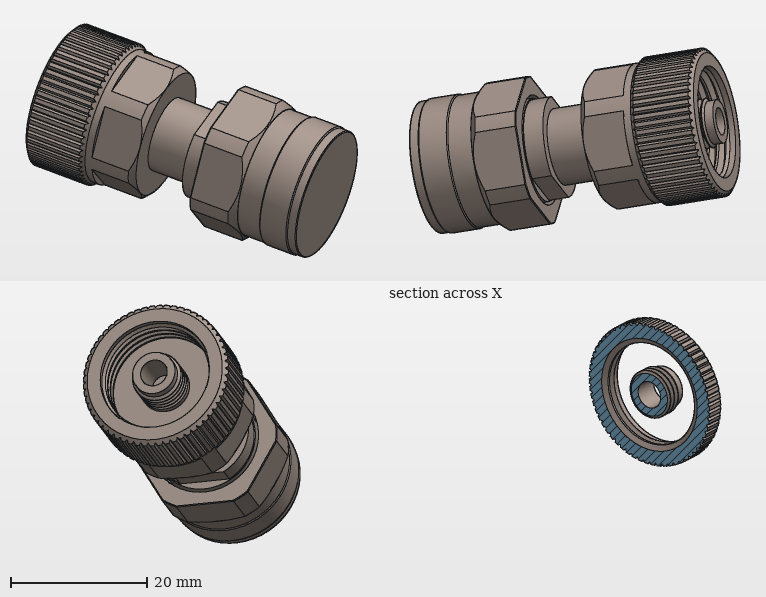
import cadquery as cq
import math


total_length = 45.0

thread_flank_height = math.cos(math.pi / 6)

spigot_radius = 3.25
spigot_plain_length = 1.35
spigot_crest_radius = 3.7
spigot_groove_pitch = 0.95
spigot_groove_length = 0.8
spigot_groove_count = 4
spigot_bore_radius = 2.02
contact_hole_radius = 0.68
contact_hole_depth = 2.25

sleeve_front = 0.55
knurl_radius = 11.05
knurl_end = 10.35
knurl_face_radius = 10.3
knurl_front_chamfer = 0.6
knurl_groove_count = 60
knurl_groove_width = 0.55
knurl_groove_depth = 0.35
collar_radius = 10.4
collar_end = 11.48
sleeve_hexagon_width = 19.12
sleeve_end = 18.35
sleeve_chamfer = 0.85

bore_radius = 7.9
bore_floor = 6.35
bore_mouth_radius = 8.32
bore_mouth_depth = 0.9
bore_mouth_taper_length = 0.45
bore_groove_pitch = 1.5
bore_groove_length = 1.12
bore_groove_count = 3

shaft_radius = 5.7
flange_front = 24.98
flange_radius = 7.5
flange_width = 13.05
root_radius = 7.7

nut_front = 28.0
nut_radius = 11.0
nut_hexagon_width = 20.15
nut_hexagon_end = 35.35
nut_front_chamfer = 0.15
nut_rear_chamfer = 1.05
nut_recess_radius = 8.2
barrel_radius = 9.85
band_radius = 10.05
band_front = 39.15
band_end = 43.42
barrel_edge_chamfer = 0.15


def revolve(points):
    """Solid of revolution about X from (x, radius) points."""
    return cq.Workplane("XY").polyline(points).close().revolve(360, (0, 0, 0), (1, 0, 0))


def cylinder(start, end, radius):
    return cq.Workplane("YZ").workplane(offset=start).circle(radius).extrude(end - start)


def hexagon(start, end, width):
    """Hexagonal prism along X with two of its flats facing +Z and -Z."""
    corner_diameter = width / math.cos(math.pi / 6)
    return cq.Workplane("YZ").workplane(offset=start).polygon(6, corner_diameter).extrude(end - start)


def knurl():
    rear_chamfer = knurl_radius - collar_radius
    knurled = revolve([
        (sleeve_front, 0),
        (sleeve_front, knurl_face_radius),
        (sleeve_front + knurl_front_chamfer, knurl_radius),
        (knurl_end - rear_chamfer, knurl_radius),
        (knurl_end, collar_radius),
        (knurl_end, 0),
    ])
    groove_bottom = knurl_radius - knurl_groove_depth
    groove_top = groove_bottom + 2 * knurl_groove_depth
    groove = (
        cq.Workplane("YZ")
        .workplane(offset=sleeve_front)
        .polyline([
            (0, groove_bottom),
            (knurl_groove_width, groove_top),
            (-knurl_groove_width, groove_top),
        ])
        .close()
        .extrude(knurl_end - sleeve_front)
        .val()
    )
    step = 360 / knurl_groove_count
    grooves = [groove.rotate((0, 0, 0), (1, 0, 0), i * step) for i in range(knurl_groove_count)]
    return knurled.cut(cq.Compound.makeCompound(grooves))


def sleeve_hexagon():
    turned = revolve([
        (knurl_end, 0),
        (knurl_end, collar_radius),
        (sleeve_end - sleeve_chamfer, collar_radius),
        (sleeve_end, collar_radius - sleeve_chamfer),
        (sleeve_end, 0),
    ])
    flats = hexagon(collar_end, sleeve_end, sleeve_hexagon_width)
    return turned.intersect(flats.union(cylinder(knurl_end, collar_end, collar_radius)))


def sleeve_bore():
    taper_start = sleeve_front + bore_mouth_depth
    taper_end = taper_start + bore_mouth_taper_length
    groove_bottom = bore_radius + bore_groove_length * thread_flank_height
    points = [
        (sleeve_front, 0),
        (sleeve_front, bore_mouth_radius),
        (taper_start, bore_mouth_radius),
    ]
    for i in range(bore_groove_count):
        start = taper_end + i * bore_groove_pitch
        points += [
            (start, bore_radius),
            (start + bore_groove_length / 2, groove_bottom),
            (start + bore_groove_length, bore_radius),
        ]
    points += [(bore_floor, bore_radius), (bore_floor, 0)]
    return revolve(points)


def spigot():
    groove_bottom = spigot_crest_radius - spigot_groove_length * thread_flank_height
    step_length = (spigot_crest_radius - spigot_radius) / (2 * thread_flank_height)
    first_crest = spigot_plain_length + step_length
    crest_length = spigot_groove_pitch - spigot_groove_length
    points = [
        (0, 0),
        (0, spigot_radius),
        (spigot_plain_length, spigot_radius),
        (first_crest, spigot_crest_radius),
    ]
    for i in range(spigot_groove_count):
        start = first_crest + crest_length + i * spigot_groove_pitch
        points += [
            (start, spigot_crest_radius),
            (start + spigot_groove_length / 2, groove_bottom),
            (start + spigot_groove_length, spigot_crest_radius),
        ]
    points += [(bore_floor, spigot_crest_radius), (bore_floor, 0)]
    return revolve(points)


def flange():
    disc = cylinder(flange_front, nut_front, flange_radius)
    between_flats = cq.Workplane("XY").box(2 * total_length, 2 * flange_radius, flange_width)
    return disc.intersect(between_flats)


def make_connector():
    body = knurl().union(sleeve_hexagon()).cut(sleeve_bore()).union(spigot())
    body = body.cut(cylinder(0, bore_floor, spigot_bore_radius))
    body = body.cut(cylinder(bore_floor, bore_floor + contact_hole_depth, contact_hole_radius))
    body = body.union(cylinder(sleeve_end, flange_front, shaft_radius)).union(flange())
    return body.union(cylinder(nut_front, nut_hexagon_end, root_radius))


def make_coupling_nut():
    turned = revolve([
        (nut_front, 0),
        (nut_front, nut_radius),
        (nut_hexagon_end - nut_rear_chamfer, nut_radius),
        (nut_hexagon_end, nut_radius - nut_rear_chamfer),
        (nut_hexagon_end, 0),
    ])
    nut = turned.intersect(hexagon(nut_front, nut_hexagon_end, nut_hexagon_width))
    nut = nut.faces("<X").edges().chamfer(nut_front_chamfer)
    band_step = band_radius - barrel_radius
    barrel = revolve([
        (nut_hexagon_end, 0),
        (nut_hexagon_end, barrel_radius),
        (band_front - band_step, barrel_radius),
        (band_front, band_radius),
        (band_end, band_radius),
        (band_end + band_step, barrel_radius),
        (total_length - barrel_edge_chamfer, barrel_radius),
        (total_length, barrel_radius - barrel_edge_chamfer),
        (total_length, 0),
    ])
    return nut.union(barrel).cut(cylinder(nut_front, nut_hexagon_end, nut_recess_radius))


connector = make_connector()
coupling_nut = make_coupling_nut()

result = cq.Compound.makeCompound([connector.val(), coupling_nut.val()])